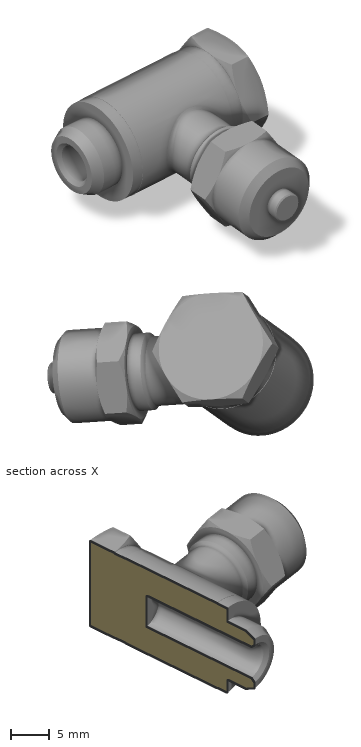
import cadquery as cq
import math


BOLT_FLATS = 14.0
HEAD_TOP = 11.85
HEAD_BOTTOM = 7.8
BODY_TOP = 6.1
BODY_BOTTOM = -9.03
WASHER_BOTTOM = -10.7
SPIGOT_CHAMFER_START = -13.73
SPIGOT_END = -15.15
BODY_RADIUS = BOLT_FLATS / 2
WASHER_RADIUS = 6.95
SPIGOT_RADIUS = 4.8
SPIGOT_TIP_RADIUS = 4.05

BORE_RADIUS = 2.5
BORE_CHAMFER = 0.53
BORE_END = BORE_RADIUS

ARM_RADIUS = 4.5
ARM_FILLET = 0.5
COLLAR_START = 11.05
COLLAR_RADIUS = 5.0
COLLAR_CHAMFER = COLLAR_RADIUS - ARM_RADIUS
NUT_START = 13.35
NUT_HEX_END = 17.3
NUT_END = 23.35
NUT_FLATS = 12.0
NUT_CHAMFER = 1.0
STUB_END = 25.0
STUB_RADIUS = 2.0
STUB_CHAMFER = 0.15

HEX_CHAMFER_ANGLE = math.radians(30)


def cylinder_y(radius, y_start, y_end):
    return cq.Workplane("XZ", origin=(0, y_start, 0)).circle(radius).extrude(y_start - y_end)


def cylinder_x(radius, x_start, x_end):
    return cq.Workplane("YZ", origin=(x_start, 0, 0)).circle(radius).extrude(x_end - x_start)


def chamfered_hex(across_flats, height):
    """Hexagon along Z from 0, corners on X, with corners coned off at both ends."""
    flat_radius = across_flats / 2
    corner_radius = flat_radius / math.cos(math.pi / 6)
    drop = (corner_radius - flat_radius) * math.tan(HEX_CHAMFER_ANGLE)
    prism = cq.Workplane("XY").polygon(6, 2 * corner_radius).extrude(height)
    envelope = (
        cq.Workplane("XZ")
        .moveTo(0, 0)
        .lineTo(flat_radius, 0)
        .lineTo(corner_radius, drop)
        .lineTo(corner_radius, height - drop)
        .lineTo(flat_radius, height)
        .lineTo(0, height)
        .close()
        .revolve(360, (0, 0, 0), (0, 1, 0))
    )
    return prism.intersect(envelope)


def banjo_body_with_arm():
    body = cylinder_y(BODY_RADIUS, BODY_BOTTOM, BODY_TOP)
    joined = body.union(cylinder_x(ARM_RADIUS, 0, COLLAR_START))
    joint = cq.selectors.BoxSelector(
        (0.33, -ARM_RADIUS - 0.33, -ARM_RADIUS - 0.33),
        (BODY_RADIUS + 0.33, ARM_RADIUS + 0.33, ARM_RADIUS + 0.33),
        boundingbox=True,
    )
    return joined.edges(joint).fillet(ARM_FILLET)


def bolt_head():
    head = chamfered_hex(BOLT_FLATS, HEAD_TOP - HEAD_BOTTOM)
    return head.rotate((0, 0, 0), (1, 0, 0), -90).translate((0, HEAD_BOTTOM, 0))


def washers():
    upper = cylinder_y(WASHER_RADIUS, BODY_TOP, HEAD_BOTTOM)
    return upper.union(cylinder_y(WASHER_RADIUS, WASHER_BOTTOM, BODY_BOTTOM))


def spigot():
    return (
        cylinder_y(SPIGOT_RADIUS, SPIGOT_END, WASHER_BOTTOM)
        .faces("<Y")
        .chamfer(SPIGOT_CHAMFER_START - SPIGOT_END, SPIGOT_RADIUS - SPIGOT_TIP_RADIUS)
    )


def spigot_bore():
    mouth_radius = BORE_RADIUS + BORE_CHAMFER
    return (
        cq.Workplane("XY")
        .moveTo(0, SPIGOT_END)
        .lineTo(mouth_radius, SPIGOT_END)
        .lineTo(BORE_RADIUS, SPIGOT_END + BORE_CHAMFER)
        .lineTo(BORE_RADIUS, BORE_END)
        .lineTo(0, BORE_END)
        .close()
        .revolve(360, (0, 0, 0), (0, 1, 0))
    )


def collar():
    return cylinder_x(COLLAR_RADIUS, COLLAR_START, NUT_START).faces("<X").chamfer(COLLAR_CHAMFER)


def hose_nut():
    hexagon = (
        chamfered_hex(NUT_FLATS, NUT_HEX_END - NUT_START)
        .rotate((0, 0, 0), (0, 0, 1), 90)
        .rotate((0, 0, 0), (0, 1, 0), 90)
        .translate((NUT_START, 0, 0))
    )
    sleeve = cylinder_x(NUT_FLATS / 2, NUT_HEX_END, NUT_END).faces(">X").chamfer(NUT_CHAMFER)
    return hexagon.union(sleeve)


def stub():
    return cylinder_x(STUB_RADIUS, NUT_END, STUB_END).faces(">X").chamfer(STUB_CHAMFER)


result = banjo_body_with_arm()
for piece in (bolt_head(), washers(), spigot(), collar(), hose_nut(), stub()):
    result = result.union(piece)
result = result.cut(spigot_bore())